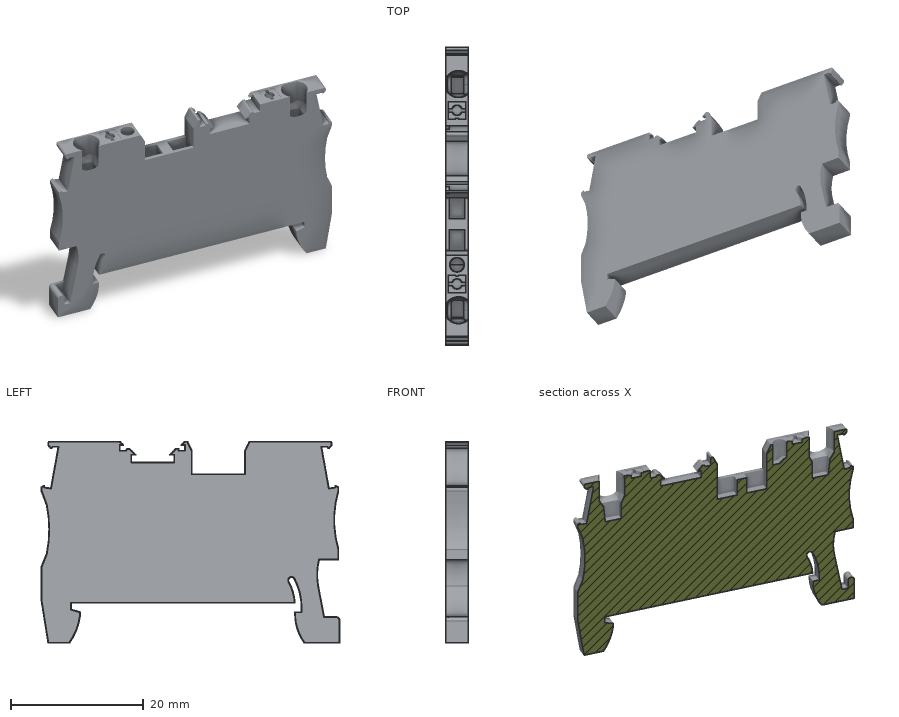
import cadquery as cq

thickness = 3.5
length = 45.2
height = 30.5
face_x = thickness / 2

ends_mid_y = 0.1
lip_reach = 21.45
lip_barb_reach = 21.0
lip_bottom_z = 29.7
wall_top_reach = 19.95
wall_bottom_reach = 21.05
nose_reach = length / 2 - ends_mid_y
nose_floor_z = 23.4
barb_size = 0.23
lip_bevel = 0.2
nose_barb_width = 0.45
nose_barb_lean = 0.05
nose_barb_rise = 0.4
nose_tip_rise = 0.2
nose_floor_rise = 0.15
nose_edge_drop = 0.35

notch_floor_z = 27.35
notch_left_y = 8.95
notch_right_y = 2.5
snap_reach = 0.65
snap_tip_z = 28.48
snap_peak_z = 29.43
right_peak_start_y = 1.8
right_peak_end_y = 2.2
left_peak_start = (9.18, 29.35)
left_peak_y = 9.45
left_peak_end_y = 9.75
ledge_z = 29.15
ledge_left_y = 10.7
ledge_right_y = 0.85
beak_reach = 0.55
beak_tip_z = 29.95
beak_width = 0.6
beak_top_drop = 0.05
beak_root = 0.45

channel_left_y = -0.23
channel_right_y = -8.23
channel_floor_z = 25.6
channel_flare_z = 29.05
channel_flare = 0.72
pocket_width = 2.4
pocket_length = 3.15
pocket_depth = 2.7

left_arc_y = 21.8
left_arc_top_z = 20.9
left_arc_bottom_z = 13.5
left_arc_sag = 0.35
left_edge_top_z = 11.5
left_edge_bottom_z = 6.5
right_arc_bottom_z = 14.2
right_arc_mid = (-21.8, 18.55)

rail_z = 6.05
rail_left_y = 18.1
rail_right_y = -15.8
foot_tip_z = 4.65
left_foot_outer_y = 21.55
left_foot_inner_y = 18.35
left_foot_arc_mid = (17.3, 1.9)
hook_tip_y = 16.72
hook_tip_height = 0.55
hook_rise = 0.4
right_foot_inner_y = -17.25
right_foot_arc_mid = (-16.15, 2.25)
foot_neck_y = -16.8
arm_ledge_z = 12.6
foot_top_z = 3.95
foot_round = 0.55
arm_foot_y = -20.25
foot_groove_depth = 1.8
foot_groove_lean = 0.35
foot_wall = 0.4

slot_inner_mid = (-15.5, 7.77)
slot_inner_top = (-14.85, 9.25)
slot_end_mid = (-15.15, 9.95)
slot_outer_top = (-15.77, 9.65)
slot_outer_mid = (-16.55, 7.55)
slot_outer_bottom_z = 5.42
arm_arc_bottom = (-19.35, 8.7)
arm_arc_mid = (-19.2, 10.6)
arm_top_y = -19.5

openings_mid_y = -0.15
funnel_offset = 17.15
funnel_radius = 2.05
funnel_center_x = 0.23
funnel_min_x = -1.5
bore_depth = 3.6
funnel_depth = 1.15
clamp_width = 1.9
clamp_length = 2.8
clamp_shift = -0.1
clamp_slope = 0.25
clamp_round = 0.35
clamp_center_x = 0.1
clamp_depth = 2.7
button_offset = 13.15
button_size = 2.65
button_recess = 0.1
driver_radius = 0.75
driver_slot_width = 0.55
driver_depth = 0.7
key_radius = 0.3
key_offset = 1.5

test_hole_y = -10.4
test_hole_radius = 1.1
test_hole_depth = 3.6
test_ramp_rise = 0.9


def end_points(side):
    """Upper end outline from the top face down to the nose; side is +1 or -1 along Y."""
    outline = [
        (lip_reach - lip_bevel, height),
        (lip_reach, height - lip_bevel),
        (lip_reach, lip_bottom_z + barb_size),
        (lip_barb_reach, lip_bottom_z - barb_size),
        (lip_barb_reach - barb_size, lip_bottom_z),
        (wall_top_reach, lip_bottom_z),
        (wall_bottom_reach, nose_floor_z),
        (nose_reach - nose_barb_width - nose_barb_lean, nose_floor_z + nose_floor_rise),
        (nose_reach - nose_barb_width, nose_floor_z + nose_barb_rise),
        (nose_reach, nose_floor_z + nose_tip_rise),
        (nose_reach, nose_floor_z - nose_edge_drop),
    ]
    return [(ends_mid_y + side * reach, z) for reach, z in outline]


def make_body():
    """Side profile of the whole block, extruded through its thickness."""
    left_end = end_points(1)
    right_end = end_points(-1)
    right_nose_y = right_end[-1][0]
    left_arc_mid = (left_arc_y - left_arc_sag, (left_arc_top_z + left_arc_bottom_z) / 2)
    profile = (
        cq.Workplane("YZ", origin=(-face_x, 0, 0))
        .polyline(left_end)
        .lineTo(left_arc_y, left_arc_top_z)
        .threePointArc(left_arc_mid, (left_arc_y, left_arc_bottom_z))
        .lineTo(length / 2, left_edge_top_z)
        .lineTo(length / 2, left_edge_bottom_z)
        .lineTo(left_foot_outer_y, 0)
        .lineTo(left_foot_inner_y, 0)
        .threePointArc(left_foot_arc_mid, (hook_tip_y, foot_tip_z - hook_tip_height))
        .lineTo(hook_tip_y, foot_tip_z)
        .lineTo(rail_left_y, foot_tip_z + hook_rise)
        .lineTo(rail_left_y, rail_z)
        .lineTo(rail_right_y, rail_z)
        .threePointArc(slot_inner_mid, slot_inner_top)
        .threePointArc(slot_end_mid, slot_outer_top)
        .threePointArc(slot_outer_mid, (foot_neck_y, slot_outer_bottom_z))
        .lineTo(foot_neck_y, foot_tip_z)
        .lineTo(rail_right_y, foot_tip_z)
        .threePointArc(right_foot_arc_mid, (right_foot_inner_y, 0))
        .lineTo(-length / 2, 0)
        .lineTo(-length / 2, foot_top_z - foot_round)
        .radiusArc((-length / 2 + foot_round, foot_top_z), foot_round)
        .lineTo(arm_foot_y, foot_top_z)
        .lineTo(*arm_arc_bottom)
        .threePointArc(arm_arc_mid, (arm_top_y, arm_ledge_z))
        .lineTo(right_nose_y, arm_ledge_z)
        .lineTo(right_nose_y, right_arc_bottom_z)
        .threePointArc(right_arc_mid, right_end[-1])
    )
    for point in reversed(right_end[:-1]):
        profile = profile.lineTo(*point)
    top_points = [
        (channel_right_y - channel_flare, height),
        (channel_right_y, channel_flare_z),
        (channel_right_y, channel_floor_z),
        (channel_left_y, channel_floor_z),
        (channel_left_y, channel_flare_z),
        (channel_left_y + channel_flare, height),
        (ledge_right_y, height),
        (ledge_right_y, ledge_z),
        (right_peak_start_y, ledge_z),
        (right_peak_start_y, snap_peak_z),
        (right_peak_end_y, snap_peak_z),
        (notch_right_y + snap_reach, snap_tip_z),
        (notch_right_y, snap_tip_z),
        (notch_right_y, notch_floor_z),
        (notch_left_y, notch_floor_z),
        (notch_left_y, snap_tip_z),
        (notch_left_y - snap_reach, snap_tip_z),
    ]
    for point in top_points:
        profile = profile.lineTo(*point)
    profile = (
        profile
        .lineTo(*left_peak_start)
        .threePointArc((left_peak_y, snap_peak_z), (left_peak_end_y, ledge_z))
        .lineTo(ledge_left_y, ledge_z)
        .lineTo(ledge_left_y, height)
    )
    return profile.close().extrude(thickness)


def make_beak(wall_y, direction):
    """Small beak at the -X face, overhanging the notch ledge from its wall."""
    return (
        cq.Workplane("YZ", origin=(-face_x, 0, 0))
        .polyline([
            (wall_y - direction * beak_root, beak_tip_z),
            (wall_y - direction * beak_root, height - beak_top_drop),
            (wall_y, height),
            (wall_y + direction * beak_reach, beak_tip_z),
        ])
        .close()
        .extrude(beak_width)
    )


def make_pocket(center_y):
    return (
        cq.Workplane("XY", origin=(0, center_y, channel_floor_z))
        .rect(pocket_width, pocket_length)
        .extrude(-pocket_depth)
    )


def make_foot_groove():
    """Groove between the spring arm and the round-topped lip of its foot, open at the +X face."""
    lip_inner_y = -length / 2 + 2 * foot_round
    floor_z = foot_top_z - foot_groove_depth
    return (
        cq.Workplane("YZ", origin=(foot_wall - face_x, 0, 0))
        .moveTo(arm_foot_y, foot_top_z)
        .lineTo(arm_foot_y - foot_groove_lean, floor_z)
        .lineTo(lip_inner_y, floor_z)
        .lineTo(lip_inner_y, foot_top_z - foot_round)
        .radiusArc((lip_inner_y - foot_round, foot_top_z), -foot_round)
        .close()
        .extrude(thickness - foot_wall)
    )


def make_wire_entry(side):
    """Round bore, funnel below it and clamp well with a sloped outer end.

    The bore breaks through the +X face and leaves a thin wall at the -X face.
    """
    center_y = openings_mid_y + side * funnel_offset
    clamp_y = center_y + side * clamp_shift
    bore_floor_z = height - bore_depth
    funnel_floor_z = bore_floor_z - funnel_depth
    bore = (
        cq.Workplane("XY", origin=(funnel_center_x, center_y, height))
        .circle(funnel_radius)
        .extrude(-bore_depth)
    )
    funnel = (
        cq.Workplane("XY", origin=(funnel_center_x, center_y, bore_floor_z))
        .circle(funnel_radius)
        .workplane(offset=-funnel_depth)
        .center(clamp_center_x - funnel_center_x, clamp_y - center_y)
        .rect(clamp_width, clamp_length)
        .loft()
    )
    clamp_well = (
        cq.Workplane("YZ", origin=(clamp_center_x, clamp_y, funnel_floor_z))
        .polyline([
            (-side * clamp_length / 2, 0),
            (-side * clamp_length / 2, -clamp_depth),
            (side * (clamp_length / 2 - clamp_slope), -clamp_depth),
            (side * clamp_length / 2, 0),
        ])
        .close()
        .extrude(clamp_width / 2, both=True)
        .edges("|Z")
        .fillet(clamp_round)
    )
    inside_wall = (
        cq.Workplane("XY", origin=(funnel_min_x, 0, 0))
        .box(2 * thickness, length, height, centered=(False, True, False))
    )
    return bore.union(funnel).union(clamp_well).intersect(inside_wall)


def make_button(side):
    """Shallow square recess with a screwdriver recess in it and a small round key on its inner edge."""
    plane = cq.Workplane("XY", origin=(0, openings_mid_y + side * button_offset, height))
    plate = plane.rect(button_size, button_size).extrude(-button_recess)
    disc = plane.circle(driver_radius).extrude(-driver_depth)
    slot = plane.rect(button_size, driver_slot_width).extrude(-driver_depth)
    key = plane.center(0, -side * key_offset).circle(key_radius).extrude(-button_recess)
    return plate.cut(key).union(disc).union(slot)


def make_test_hole():
    hole = (
        cq.Workplane("XY", origin=(0, test_hole_y, height))
        .circle(test_hole_radius)
        .extrude(-test_hole_depth)
    )
    floor_z = height - test_hole_depth
    ramp = (
        cq.Workplane("YZ", origin=(-face_x, test_hole_y, floor_z))
        .polyline([(0, 0), (-test_hole_radius, 0), (-test_hole_radius, test_ramp_rise)])
        .close()
        .extrude(thickness)
    )
    return hole.cut(ramp)


result = make_body()
result = result.union(make_beak(ledge_left_y, -1)).union(make_beak(ledge_right_y, 1))
result = result.cut(make_pocket(channel_left_y - pocket_length / 2))
result = result.cut(make_pocket(channel_right_y + pocket_length / 2))
for side in (1, -1):
    result = result.cut(make_wire_entry(side)).cut(make_button(side))
result = result.cut(make_test_hole()).cut(make_foot_groove())